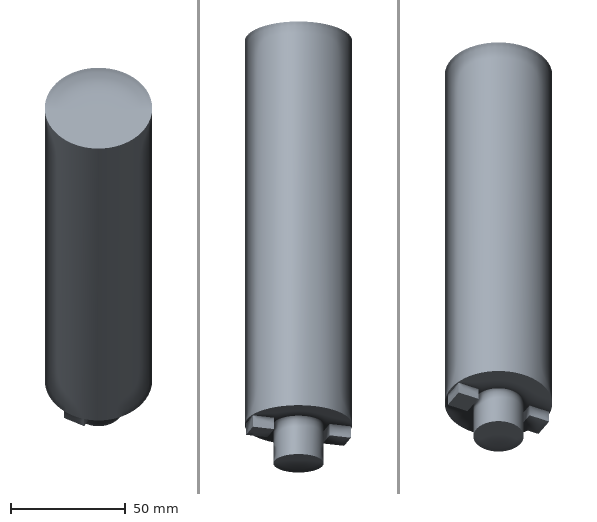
import cadquery as cq

total_height = 198.0
body_diameter = 47.0
stem_diameter = 22.0
stem_length = 18.0
body_length = total_height - stem_length

lug_width = 10.0
lug_depth = 9.7
lug_height = 5.3
lug_outer_distance = 22.4
lug_center_distance = lug_outer_distance - lug_depth / 2


def make_lug(side):
    """Lug hanging from the body underside; side is -1 or +1 along Y."""
    return (
        cq.Workplane("XY", origin=(0, side * lug_center_distance, stem_length))
        .rect(lug_width, lug_depth)
        .extrude(-lug_height)
    )


stem = cq.Workplane("XY").circle(stem_diameter / 2).extrude(stem_length)
result = stem.faces(">Z").workplane().circle(body_diameter / 2).extrude(body_length)

for side in (-1, 1):
    result = result.union(make_lug(side))